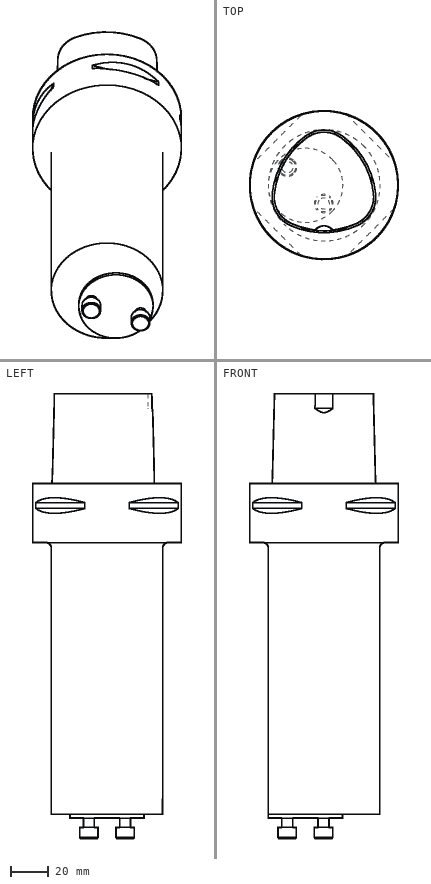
import cadquery as cq
import math

TAPER_LENGTH = 48.0
FLANGE_DIAMETER = 80.0
FLANGE_THICKNESS = 32.0
FLANGE_CHAMFER = 0.3
BODY_DIAMETER = 60.0
BODY_END_Z = -178.0
NECK_FILLET = 3.0

LOBE_COUNT = 3
LOBE_REACH = 29.6
FLANK_REACH = 25.6
LOBE_RADIUS = 16.8
TAPER_RATIO = 1 / 20

NOTCH_DIAMETER = 12.0
NOTCH_BACK_Y = -21.9
NOTCH_WALL_DEPTH = 7.9
NOTCH_FLOOR_ANGLE = 40.0

GROOVE_ANGLES = (45, 135, 225, 315)
GROOVE_CENTER_Z = -12.1
GROOVE_FLOOR_DISTANCE = 35.4
GROOVE_FLOOR_WIDTH = 3.1
GROOVE_FLANK_ANGLE = 30.0

PAD_DIAMETER = 40.0
PAD_THICKNESS = 2.0
PAD_CENTER_X = (PAD_DIAMETER - BODY_DIAMETER) / 2
SCREW_OFFSET = 9.75
SCREW_SHANK_DIAMETER = 6.0
SCREW_SHANK_LENGTH = 5.0
SCREW_HEAD_DIAMETER = 10.0
SCREW_HEAD_HEIGHT = 6.0
SCREW_HEAD_CHAMFER = 0.6

FLANGE_RADIUS = FLANGE_DIAMETER / 2
BODY_RADIUS = BODY_DIAMETER / 2
PAD_END_Z = BODY_END_Z - PAD_THICKNESS


def polar_point(radius, angle):
    return (radius * math.cos(angle), radius * math.sin(angle))


def lobed_outline(inset, z):
    """Closed outline of tangent lobe and flank arcs, one lobe toward +Y, inset along its normal."""
    lobe_offset = LOBE_REACH - LOBE_RADIUS
    reach_gap = FLANK_REACH - LOBE_RADIUS
    flank_offset = (lobe_offset**2 - reach_gap**2) / (2 * reach_gap - lobe_offset)
    half_pitch = math.pi / LOBE_COUNT
    lobe_half_angle = math.atan2(
        flank_offset * math.sin(half_pitch),
        lobe_offset + flank_offset * math.cos(half_pitch),
    )

    def seam(lobe_direction, side):
        """Point where a lobe meets the flank on the given side of it."""
        center_x, center_y = polar_point(lobe_offset, lobe_direction)
        dx, dy = polar_point(LOBE_RADIUS - inset, lobe_direction + side * lobe_half_angle)
        return (center_x + dx, center_y + dy)

    first_lobe = math.pi / 2
    outline = cq.Workplane("XY", origin=(0, 0, z)).moveTo(*seam(first_lobe, -1))
    for i in range(LOBE_COUNT):
        lobe_direction = first_lobe + 2 * half_pitch * i
        lobe_tip = polar_point(LOBE_REACH - inset, lobe_direction)
        flank_middle = polar_point(FLANK_REACH - inset, lobe_direction + half_pitch)
        next_seam = seam(lobe_direction + 2 * half_pitch, -1)
        outline = outline.threePointArc(lobe_tip, seam(lobe_direction, 1))
        outline = outline.threePointArc(flank_middle, next_seam)
    return outline.close().val()


def taper_shank():
    top_inset = TAPER_RATIO * TAPER_LENGTH / 2
    base = lobed_outline(0, 0)
    top = lobed_outline(top_inset, TAPER_LENGTH)
    return cq.Workplane(cq.Solid.makeLoft([base, top], True))


def notch_cutter():
    """Vertical cylinder with a conical point, its axis lying outside the shank."""
    radius = NOTCH_DIAMETER / 2
    wall_end_z = TAPER_LENGTH - NOTCH_WALL_DEPTH
    tip_z = wall_end_z - radius * math.tan(math.radians(NOTCH_FLOOR_ANGLE))
    profile = [(0, tip_z), (radius, wall_end_z), (radius, TAPER_LENGTH), (0, TAPER_LENGTH)]
    cutter = cq.Workplane("XZ").polyline(profile).close().revolve(360, (0, 0), (0, 1))
    return cutter.translate((0, NOTCH_BACK_Y - radius, 0))


def flange_and_body():
    """Revolved flange and cylindrical body with a concave fillet at the neck."""
    return (
        cq.Workplane("XZ")
        .moveTo(0, 0)
        .lineTo(FLANGE_RADIUS - FLANGE_CHAMFER, 0)
        .lineTo(FLANGE_RADIUS, -FLANGE_CHAMFER)
        .lineTo(FLANGE_RADIUS, -FLANGE_THICKNESS)
        .lineTo(BODY_RADIUS + NECK_FILLET, -FLANGE_THICKNESS)
        .radiusArc((BODY_RADIUS, -FLANGE_THICKNESS - NECK_FILLET), -NECK_FILLET)
        .lineTo(BODY_RADIUS, BODY_END_Z)
        .lineTo(0, BODY_END_Z)
        .close()
        .revolve(360, (0, 0), (0, 1))
    )


def groove_cutter(angle):
    """Straight flat-bottomed V prism running tangentially across the flange rim."""
    depth = FLANGE_RADIUS - GROOVE_FLOOR_DISTANCE
    floor_half = GROOVE_FLOOR_WIDTH / 2
    mouth_half = floor_half + depth * math.tan(math.radians(GROOVE_FLANK_ANGLE))
    profile = [
        (GROOVE_FLOOR_DISTANCE, GROOVE_CENTER_Z - floor_half),
        (FLANGE_RADIUS, GROOVE_CENTER_Z - mouth_half),
        (FLANGE_RADIUS, GROOVE_CENTER_Z + mouth_half),
        (GROOVE_FLOOR_DISTANCE, GROOVE_CENTER_Z + floor_half),
    ]
    cutter = cq.Workplane("XZ").polyline(profile).close().extrude(FLANGE_RADIUS, both=True)
    return cutter.rotate((0, 0, 0), (0, 0, 1), angle)


def mounting_pad():
    pad = cq.Workplane("XY").circle(PAD_DIAMETER / 2).extrude(PAD_THICKNESS)
    return pad.translate((PAD_CENTER_X, 0, PAD_END_Z))


def cap_screw(x, y):
    shank = cq.Workplane("XY").circle(SCREW_SHANK_DIAMETER / 2).extrude(-SCREW_SHANK_LENGTH)
    head = (
        cq.Workplane("XY")
        .workplane(offset=-SCREW_SHANK_LENGTH)
        .circle(SCREW_HEAD_DIAMETER / 2)
        .extrude(-SCREW_HEAD_HEIGHT)
        .faces("<Z")
        .chamfer(SCREW_HEAD_CHAMFER)
    )
    return shank.union(head).translate((x, y, PAD_END_Z))


result = flange_and_body()
for groove_angle in GROOVE_ANGLES:
    result = result.cut(groove_cutter(groove_angle))

result = result.union(taper_shank().cut(notch_cutter()))
result = result.union(mounting_pad())

for side in (-1, 1):
    result = result.union(cap_screw(PAD_CENTER_X + side * SCREW_OFFSET, -side * SCREW_OFFSET))